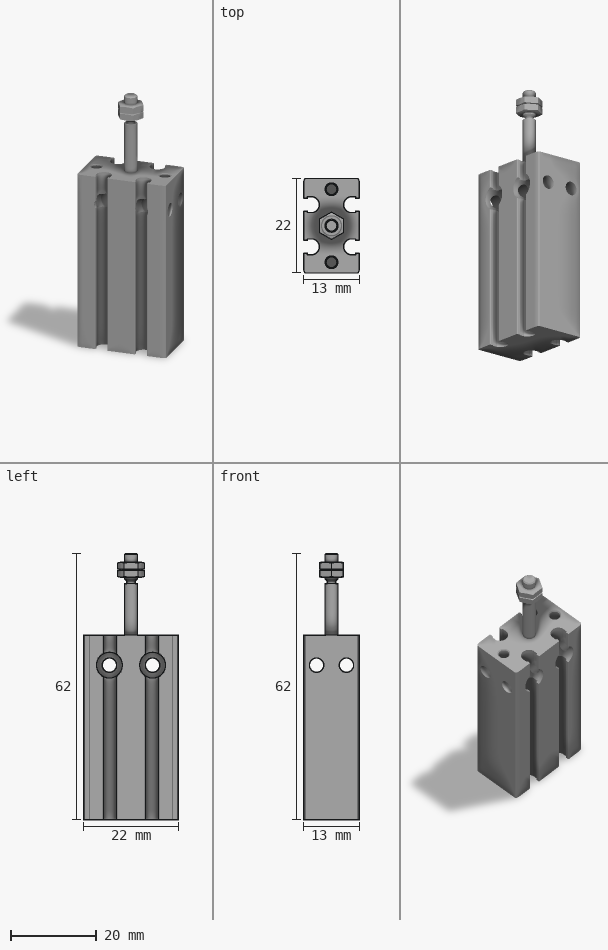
import cadquery as cq
import math

TOTAL_HEIGHT = 62.0
HOUSING_WIDTH = 13.0
HOUSING_LENGTH = 22.0
HOUSING_HEIGHT = 43.0

SHOULDER_DIAMETER = 7.0
SHOULDER_RADIUS = SHOULDER_DIAMETER / 2
SHOULDER_LENGTH = 1.3
CORNER_RADIUS = 0.3

SLOT_OFFSET = 4.9
SLOT_EDGE_RADIUS = 0.2
SLOT_MOUTH = 3.0
SLOT_LIP = 0.85
SLOT_CHAMBER = 3.6
SLOT_DEPTH = 3.65
SLOT_ROUND_DIAMETER = 3.7

CROSS_HOLE_OFFSET = 5.0
CROSS_HOLE_DIAMETER = 3.3
CROSS_HOLE_DROP = 7.0
CROSS_HOLE_Z = HOUSING_HEIGHT - CROSS_HOLE_DROP
SIDE_HOLE_OFFSET = 3.5
COUNTERBORE_DIAMETER = 6.0
COUNTERBORE_DEPTH = 4.8

SCREW_HOLE_OFFSET = 8.5
SCREW_HOLE_DIAMETER = 2.5
SCREW_HOLE_MOUTH_DIAMETER = 3.0
SCREW_HOLE_DEPTH = 5.0

ROD_DIAMETER = 3.05
ROD_INSERTION = 5.0
ROD_TIP_DIAMETER = 2.5
NECK_DIAMETER = 2.0
NECK_HEIGHT = 0.55
THREAD_LENGTH = 7.0

NUT_ACROSS_FLATS = 5.5
NUT_HEIGHT = 1.8
NUT_FACE_DIAMETER = 4.65
NUT_CHAMFER_ANGLE = 15.0
NUT_COUNT = 2
NUT_DROP = 2.0
NUT_TOP_Z = TOTAL_HEIGHT - NUT_DROP


def housing_blank():
    """Extruded profile whose wide sides curve in toward the narrow ends."""
    half_width = HOUSING_WIDTH / 2
    half_length = HOUSING_LENGTH / 2

    def shoulder_x(distance):
        fall = SHOULDER_RADIUS - math.sqrt(SHOULDER_RADIUS**2 - distance**2)
        return half_width - fall

    end_x = shoulder_x(SHOULDER_LENGTH)
    mid_x = shoulder_x(SHOULDER_LENGTH / 2)
    start_y = half_length - SHOULDER_LENGTH
    mid_y = half_length - SHOULDER_LENGTH / 2
    profile = (
        cq.Workplane("XY")
        .moveTo(half_width, -start_y)
        .lineTo(half_width, start_y)
        .threePointArc((mid_x, mid_y), (end_x, half_length))
        .lineTo(-end_x, half_length)
        .threePointArc((-mid_x, mid_y), (-half_width, start_y))
        .lineTo(-half_width, -start_y)
        .threePointArc((-mid_x, -mid_y), (-end_x, -half_length))
        .lineTo(end_x, -half_length)
        .threePointArc((mid_x, -mid_y), (half_width, -start_y))
        .close()
    )
    blank = profile.extrude(HOUSING_HEIGHT)
    end_edges = blank.faces("<Y or >Y").edges("|Z")
    return end_edges.fillet(CORNER_RADIUS)


def sensor_slot(side, end):
    """Cutter for one slot: narrow mouth with rounded edges, wider chamber and a round floor."""
    wall_x = HOUSING_WIDTH / 2
    lip_x = wall_x - SLOT_LIP
    floor_x = wall_x - SLOT_DEPTH
    mouth = SLOT_MOUTH / 2
    chamber = SLOT_CHAMBER / 2
    round_radius = SLOT_ROUND_DIAMETER / 2
    round_x = floor_x + round_radius - math.sqrt(round_radius**2 - chamber**2)
    arc_inset = SLOT_EDGE_RADIUS * (1 - math.sqrt(0.5))

    def point(x, outward):
        return side * x, end * (SLOT_OFFSET + outward)

    return (
        cq.Workplane("XY")
        .moveTo(*point(wall_x, -mouth - SLOT_EDGE_RADIUS))
        .threePointArc(
            point(wall_x - arc_inset, -mouth - arc_inset),
            point(wall_x - SLOT_EDGE_RADIUS, -mouth),
        )
        .lineTo(*point(lip_x, -mouth))
        .lineTo(*point(lip_x, -chamber))
        .lineTo(*point(round_x, -chamber))
        .threePointArc(point(floor_x, 0), point(round_x, chamber))
        .lineTo(*point(lip_x, chamber))
        .lineTo(*point(lip_x, mouth))
        .lineTo(*point(wall_x - SLOT_EDGE_RADIUS, mouth))
        .threePointArc(
            point(wall_x - arc_inset, mouth + arc_inset),
            point(wall_x, mouth + SLOT_EDGE_RADIUS),
        )
        .close()
        .extrude(HOUSING_HEIGHT)
    )


def counterbored_hole(center_y):
    """Cutter for a hole along X that is counterbored from the -X side."""
    hole = (
        cq.Workplane("YZ", origin=(0, center_y, CROSS_HOLE_Z))
        .circle(CROSS_HOLE_DIAMETER / 2)
        .extrude(HOUSING_WIDTH / 2, both=True)
    )
    counterbore = (
        cq.Workplane("YZ", origin=(-HOUSING_WIDTH / 2, center_y, CROSS_HOLE_Z))
        .circle(COUNTERBORE_DIAMETER / 2)
        .extrude(COUNTERBORE_DEPTH)
    )
    return hole.union(counterbore)


def side_hole(center_x):
    """Cutter for a plain hole along Y."""
    return (
        cq.Workplane("XZ", origin=(center_x, 0, CROSS_HOLE_Z))
        .circle(CROSS_HOLE_DIAMETER / 2)
        .extrude(HOUSING_LENGTH / 2, both=True)
    )


def screw_hole(center_y):
    """Cutter for a blind hole in the top face with a countersunk mouth."""
    radius = SCREW_HOLE_DIAMETER / 2
    mouth_radius = SCREW_HOLE_MOUTH_DIAMETER / 2
    countersink = mouth_radius - radius
    return (
        cq.Workplane("XZ")
        .moveTo(0, 0)
        .lineTo(mouth_radius, 0)
        .lineTo(radius, -countersink)
        .lineTo(radius, -SCREW_HOLE_DEPTH)
        .lineTo(0, -SCREW_HOLE_DEPTH)
        .close()
        .revolve(360, (0, 0), (0, 1))
        .translate((0, center_y, HOUSING_HEIGHT))
    )


def rod_bore():
    """Cutter for the blind bore that holds the lower end of the rod."""
    return (
        cq.Workplane("XY", origin=(0, 0, HOUSING_HEIGHT - ROD_INSERTION))
        .circle(ROD_DIAMETER / 2)
        .extrude(ROD_INSERTION)
    )


def make_housing():
    housing = housing_blank().cut(rod_bore())
    for end in (-1, 1):
        for side in (-1, 1):
            housing = housing.cut(sensor_slot(side, end))
        housing = housing.cut(counterbored_hole(end * CROSS_HOLE_OFFSET))
        housing = housing.cut(side_hole(end * SIDE_HOLE_OFFSET))
        housing = housing.cut(screw_hole(end * SCREW_HOLE_OFFSET))
    return housing


def make_rod():
    """Turned rod with a relief neck below its chamfered end."""
    radius = ROD_DIAMETER / 2
    neck_radius = NECK_DIAMETER / 2
    tip_radius = ROD_TIP_DIAMETER / 2
    tip_chamfer = radius - tip_radius
    bottom_z = HOUSING_HEIGHT - ROD_INSERTION
    shoulder_z = TOTAL_HEIGHT - THREAD_LENGTH
    neck_top_z = shoulder_z + NECK_HEIGHT
    cone_top_z = neck_top_z + radius - neck_radius
    return (
        cq.Workplane("XZ")
        .moveTo(0, bottom_z)
        .lineTo(radius, bottom_z)
        .lineTo(radius, shoulder_z)
        .lineTo(neck_radius, shoulder_z)
        .lineTo(neck_radius, neck_top_z)
        .lineTo(radius, cone_top_z)
        .lineTo(radius, TOTAL_HEIGHT - tip_chamfer)
        .lineTo(tip_radius, TOTAL_HEIGHT)
        .lineTo(0, TOTAL_HEIGHT)
        .close()
        .revolve(360, (0, 0), (0, 1))
    )


def make_nut(bottom_z):
    """Hexagon nut, corners along Y, chamfered on both faces."""
    corner_radius = NUT_ACROSS_FLATS / math.sqrt(3)
    face_radius = NUT_FACE_DIAMETER / 2
    chamfer_height = (corner_radius - face_radius) * math.tan(math.radians(NUT_CHAMFER_ANGLE))
    hexagon = (
        cq.Workplane("XY")
        .polygon(6, 2 * corner_radius)
        .extrude(NUT_HEIGHT)
        .rotate((0, 0, 0), (0, 0, 1), 90)
    )
    chamfer_envelope = (
        cq.Workplane("XZ")
        .moveTo(0, 0)
        .lineTo(face_radius, 0)
        .lineTo(corner_radius, chamfer_height)
        .lineTo(corner_radius, NUT_HEIGHT - chamfer_height)
        .lineTo(face_radius, NUT_HEIGHT)
        .lineTo(0, NUT_HEIGHT)
        .close()
        .revolve(360, (0, 0), (0, 1))
    )
    bore = cq.Workplane("XY").circle(ROD_DIAMETER / 2).extrude(NUT_HEIGHT)
    nut = hexagon.intersect(chamfer_envelope).cut(bore)
    return nut.translate((0, 0, bottom_z))


housing = make_housing()
rod = make_rod()
nuts = [make_nut(NUT_TOP_Z - (index + 1) * NUT_HEIGHT) for index in range(NUT_COUNT)]

result = cq.Compound.makeCompound([housing.val(), rod.val(), *[nut.val() for nut in nuts]])